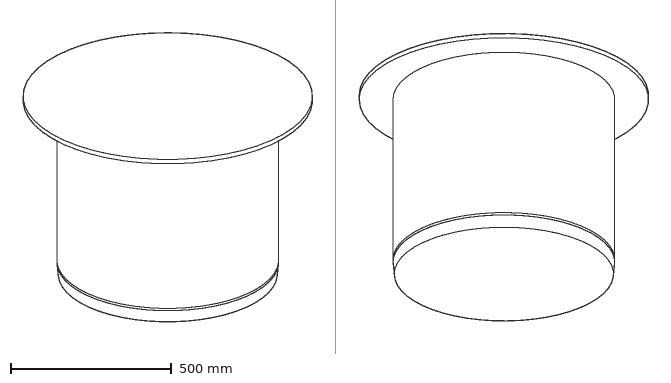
import cadquery as cq
import math

total_height = 615.0
flange_diameter = 900.0
flange_thickness = 15.0
barrel_diameter = 690.0
base_diameter = 682.0
taper_angle = 5.0

ring_bottom = 40.6
ring_thickness = 8.0
ring_inner_diameter = 666.0

ring_top = ring_bottom + ring_thickness
flange_bottom = total_height - flange_thickness

base_radius = base_diameter / 2
taper_top_radius = base_radius + ring_bottom * math.tan(math.radians(taper_angle))
groove_radius = ring_inner_diameter / 2
barrel_radius = barrel_diameter / 2
flange_radius = flange_diameter / 2


def make_plug():
    """Half section of the plug, with its ring groove, revolved about Z."""
    half_section = (
        cq.Workplane("XZ")
        .lineTo(base_radius, 0)
        .lineTo(taper_top_radius, ring_bottom)
        .lineTo(groove_radius, ring_bottom)
        .lineTo(groove_radius, ring_top)
        .lineTo(barrel_radius, ring_top)
        .lineTo(barrel_radius, flange_bottom)
        .lineTo(flange_radius, flange_bottom)
        .lineTo(flange_radius, total_height)
        .lineTo(0, total_height)
        .close()
    )
    return half_section.revolve(360, (0, 0, 0), (0, 1, 0))


def make_seal_ring():
    """Flat ring that fills the groove out to the barrel diameter."""
    return (
        cq.Workplane("XY")
        .workplane(offset=ring_bottom)
        .circle(barrel_radius)
        .circle(groove_radius)
        .extrude(ring_thickness)
    )


plug = make_plug()
seal_ring = make_seal_ring()

result = cq.Compound.makeCompound([plug.val(), seal_ring.val()])